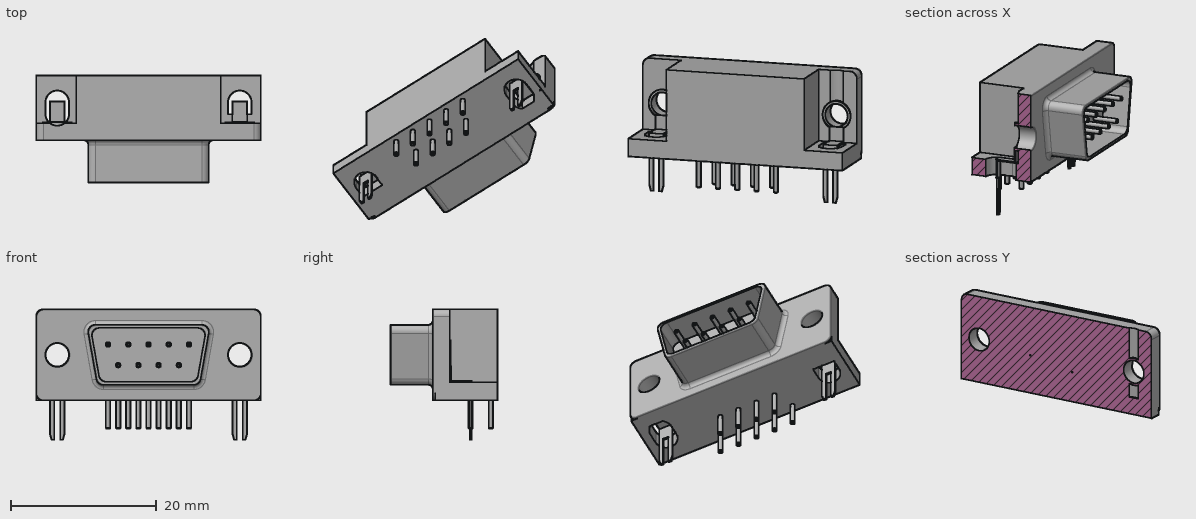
import cadquery as cq
import math


WIDTH = 30.8
HEIGHT = 12.5
DEPTH = 8.9
OVERALL_HEIGHT = 17.9
OVERALL_DEPTH = 14.7
PLATE_THICKNESS = 0.35
FLANGE_DEPTH = 2.3
BLOCK_WIDTH = 19.77
FOOT_HEIGHT = 2.5
CORNER_RADIUS = 1.0
EDGE_FILLET = 0.1
BOTTOM = -HEIGHT / 2
FOOT_TOP = BOTTOM + FOOT_HEIGHT

SHELL_LENGTH = OVERALL_DEPTH - DEPTH
SHELL_HEIGHT = 8.22
SHELL_HALF_WIDTH = 7.73
SHELL_WALL = 0.43
SHELL_CORNER_RADIUS = 1.0
SHELL_BASE_FILLET = 0.62
SHELL_SLANT = math.radians(10)
CAVITY_FLOOR = -2.0

PIN_DIAMETER = 0.65
PIN_TIP_CHAMFER = 0.15
CONTACT_PITCH = 2.77
ROW_OFFSET = 1.42
CONTACT_TIP = -5.55
SOLDER_LENGTH = 3.9
SOLDER_ROW_REAR = 7.98
SOLDER_ROW_FRONT = 5.2
UPPER_ROW = [(i - 2) * CONTACT_PITCH for i in range(5)]
LOWER_ROW = [(i - 1.5) * CONTACT_PITCH for i in range(4)]

MOUNT_X = 12.5
MOUNT_DIAMETER = 3.2
COLLAR_DIAMETER = 4.0
COLLAR_THICKNESS = 0.2
SLOT_REAR_Y = 5.2
SLOT_FRONT_Y = SLOT_REAR_Y - MOUNT_DIAMETER / 2
STRIP_WIDTH = 2.0
STRIP_THICKNESS = 0.25
STRIP_TOP = FOOT_TOP + 0.2
LEG_REAR_Y = 5.33
LEG_LENGTH = OVERALL_HEIGHT - HEIGHT
LEG_GAP = 0.8
LEG_TIP_LENGTH = 0.77
LEG_TIP_INSET = 0.22
LEG_BOTTOM = BOTTOM - LEG_LENGTH


def box(x_range, y_range, z_range):
    """Box spanning the three given (low, high) ranges."""
    lows, highs = zip(x_range, y_range, z_range)
    size = [high - low for low, high in zip(lows, highs)]
    return cq.Workplane("XY").box(*size, centered=False).translate(lows)


def cylinder_y(x, z, diameter, y_start, y_end):
    """Cylinder along Y, from y_start to y_end."""
    plane = cq.Plane(origin=(x, y_start, z), xDir=(1, 0, 0), normal=(0, 1, 0))
    return cq.Workplane(plane).circle(diameter / 2).extrude(y_end - y_start)


def cylinder_z(x, y, diameter, z_start, z_end):
    """Cylinder along Z, from z_start to z_end."""
    return cq.Workplane("XY", origin=(x, y, z_start)).circle(diameter / 2).extrude(z_end - z_start)


def d_prism(inset, y_front, y_back):
    """D-shaped prism whose sides lie inside the shell outline by the given inset."""
    half_height = SHELL_HEIGHT / 2 - inset
    half_width = SHELL_HALF_WIDTH - inset / math.cos(SHELL_SLANT)
    flare = half_height * math.tan(SHELL_SLANT)
    top = half_width + flare
    low = half_width - flare
    corners = [(-low, -half_height), (low, -half_height), (top, half_height), (-top, half_height)]
    prism = cq.Workplane("XZ", origin=(0, y_back, 0)).polyline(corners).close().extrude(y_back - y_front)
    return prism.edges("|Y").fillet(SHELL_CORNER_RADIUS)


def make_plate():
    """Front plate with four rounded corners."""
    plate = box((-WIDTH / 2, WIDTH / 2), (0, PLATE_THICKNESS), (BOTTOM, HEIGHT / 2))
    return plate.edges("|Y").fillet(CORNER_RADIUS)


def make_housing():
    """Flange behind the plate, central block and full-width foot."""
    flange = box((-WIDTH / 2, WIDTH / 2), (PLATE_THICKNESS, FLANGE_DEPTH), (BOTTOM, HEIGHT / 2))
    flange = flange.edges("|Y and >Z").fillet(CORNER_RADIUS)
    block = box((-BLOCK_WIDTH / 2, BLOCK_WIDTH / 2), (PLATE_THICKNESS, DEPTH), (BOTTOM, HEIGHT / 2))
    foot = box((-WIDTH / 2, WIDTH / 2), (PLATE_THICKNESS, DEPTH), (BOTTOM, FOOT_TOP))
    return flange.union(block).union(foot)


def make_front():
    """Plate with its shell: filleted root, rounded edges and mounting holes."""
    plate = make_plate()
    for side in (-1, 1):
        plate = plate.cut(cylinder_y(side * MOUNT_X, 0, MOUNT_DIAMETER, 0, PLATE_THICKNESS))
    plate = plate.faces("<Y").edges().fillet(EDGE_FILLET)
    shell = d_prism(0, -SHELL_LENGTH, PLATE_THICKNESS)
    shell = shell.faces("<Y").edges().fillet(EDGE_FILLET)
    front = plate.union(shell)
    near_root = cq.selectors.BoxSelector(
        (-MOUNT_X + MOUNT_DIAMETER, -EDGE_FILLET / 2, BOTTOM + CORNER_RADIUS),
        (MOUNT_X - MOUNT_DIAMETER, EDGE_FILLET / 2, HEIGHT / 2 - CORNER_RADIUS),
    )
    front = front.edges(near_root).fillet(SHELL_BASE_FILLET)
    return front.cut(d_prism(SHELL_WALL, -SHELL_LENGTH, CAVITY_FLOOR))


def cut_mounts(body):
    """Mounting holes and foot slots; only the left slot has a round front end."""
    radius = MOUNT_DIAMETER / 2
    for side in (-1, 1):
        x = side * MOUNT_X
        body = body.cut(cylinder_y(x, 0, MOUNT_DIAMETER, PLATE_THICKNESS, FLANGE_DEPTH))
        body = body.cut(cylinder_z(x, SLOT_REAR_Y, MOUNT_DIAMETER, BOTTOM, FOOT_TOP))
        body = body.cut(box((x - radius, x + radius), (SLOT_FRONT_Y, SLOT_REAR_Y), (BOTTOM, FOOT_TOP)))
    front_end = cylinder_z(-MOUNT_X, SLOT_FRONT_Y, MOUNT_DIAMETER, BOTTOM, HEIGHT / 2)
    flange_root = box((-WIDTH / 2, 0), (0, FLANGE_DEPTH), (BOTTOM, FOOT_TOP))
    return body.cut(front_end.cut(flange_root))


def make_board_lock(x):
    """Collar around a mounting hole, with an L-shaped strip ending in a forked leg."""
    half = STRIP_WIDTH / 2
    collar_rear = FLANGE_DEPTH + COLLAR_THICKNESS
    collar_front = SLOT_FRONT_Y - MOUNT_DIAMETER / 2
    strip_rear = FLANGE_DEPTH + STRIP_THICKNESS
    strip_bottom = STRIP_TOP - STRIP_THICKNESS
    lock = cylinder_y(x, 0, COLLAR_DIAMETER, collar_front, collar_rear)
    lock = lock.union(box((x - half, x + half), (FLANGE_DEPTH, strip_rear),
                          (strip_bottom, -MOUNT_DIAMETER / 2)))
    lock = lock.cut(cylinder_y(x, 0, MOUNT_DIAMETER, collar_front, strip_rear))
    lock = lock.union(box((x - half, x + half), (FLANGE_DEPTH, LEG_REAR_Y), (strip_bottom, STRIP_TOP)))

    tip_half = half - LEG_TIP_INSET
    tip_shoulder = LEG_BOTTOM + LEG_TIP_LENGTH
    right_edge = [(half, STRIP_TOP), (half, tip_shoulder), (tip_half, LEG_BOTTOM)]
    left_edge = [(-px, pz) for px, pz in reversed(right_edge)]
    leg = cq.Workplane("XZ", origin=(x, LEG_REAR_Y, 0)).polyline(right_edge + left_edge).close()
    leg = leg.extrude(STRIP_THICKNESS)
    leg = leg.cut(box((x - LEG_GAP / 2, x + LEG_GAP / 2), (0, DEPTH), (LEG_BOTTOM, BOTTOM)))
    return lock.union(leg)


def make_pins():
    """Contact pins inside the shell and the solder pins below the housing."""
    pins = []
    for row_x, z, solder_y in ((UPPER_ROW, ROW_OFFSET, SOLDER_ROW_REAR),
                               (LOWER_ROW, -ROW_OFFSET, SOLDER_ROW_FRONT)):
        for x in row_x:
            contact = cylinder_y(x, z, PIN_DIAMETER, CONTACT_TIP, 0)
            solder = cylinder_z(x, solder_y, PIN_DIAMETER, BOTTOM - SOLDER_LENGTH, FOOT_TOP)
            pins.append(contact.faces("<Y").chamfer(PIN_TIP_CHAMFER))
            pins.append(solder.faces("<Z").chamfer(PIN_TIP_CHAMFER))
    return pins


result = cut_mounts(make_housing()).union(make_front())
for mount_x in (-MOUNT_X, MOUNT_X):
    result = result.union(make_board_lock(mount_x))
for pin in make_pins():
    result = result.union(pin)